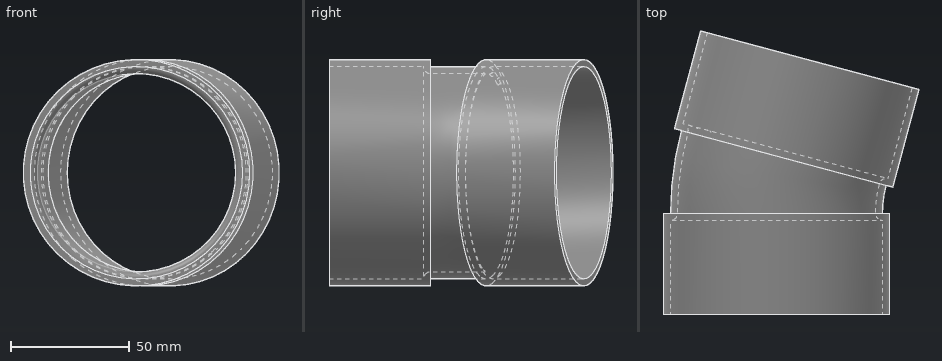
import cadquery as cq
import math

bend_angle = 15.0
socket_outer_diameter = 96.0
socket_bore_diameter = 90.0
socket_length = 42.9
neck_outer_diameter = 90.0
neck_bore_diameter = 83.9
bend_radius = 90.5

stop_round = (socket_bore_diameter - neck_bore_diameter) / 2

half_angle = math.radians(bend_angle / 2)
full_angle = math.radians(bend_angle)
bend_middle = (bend_radius * (1 - math.cos(half_angle)), bend_radius * math.sin(half_angle))
bend_end = (bend_radius * (1 - math.cos(full_angle)), bend_radius * math.sin(full_angle))


def curved_rod(diameter):
    """Solid rod following the bend centreline."""
    path = cq.Workplane("XY").threePointArc(bend_middle, bend_end)
    return cq.Workplane("XZ").circle(diameter / 2).sweep(path)


def socket_body():
    """Outer cylinder of a socket, running from the bend toward -Y."""
    return cq.Workplane("XZ").circle(socket_outer_diameter / 2).extrude(socket_length)


def socket_cavity():
    """Socket bore and the rounded opening that leads into the neck bore."""
    neck_radius = neck_bore_diameter / 2
    bore_radius = socket_bore_diameter / 2
    arc_offset = stop_round * (1 - math.sqrt(0.5))
    profile = (
        cq.Workplane("XY")
        .lineTo(neck_radius, 0)
        .threePointArc(
            (neck_radius + arc_offset, -stop_round + arc_offset),
            (bore_radius, -stop_round),
        )
        .lineTo(bore_radius, -socket_length)
        .lineTo(0, -socket_length)
        .close()
    )
    return profile.revolve(360, (0, 0, 0), (0, 1, 0))


def at_bend_end(socket_part):
    """Turn a socket part around and place it at the far end of the bend."""
    return (
        socket_part.rotate((0, 0, 0), (0, 0, 1), 180 - bend_angle)
        .translate((bend_end[0], bend_end[1], 0))
    )


outside = curved_rod(neck_outer_diameter).union(socket_body()).union(at_bend_end(socket_body()))
inside = curved_rod(neck_bore_diameter).union(socket_cavity()).union(at_bend_end(socket_cavity()))
result = outside.cut(inside)